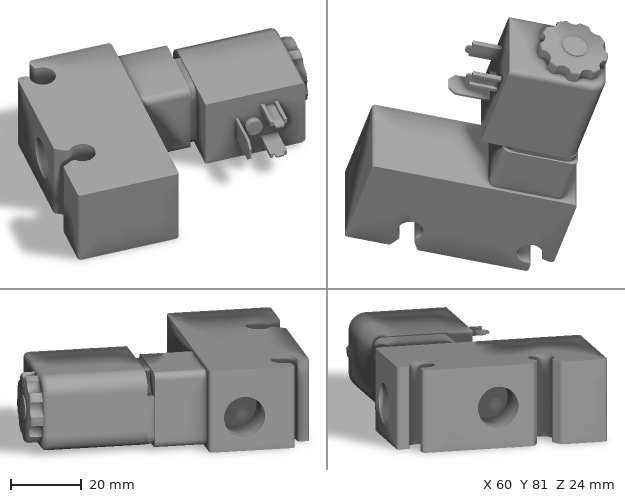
import cadquery as cq
import math


block_length = 60.0
block_height = 30.05
block_thickness = 24.0
block_round = 1.0

notch_radius = 3.7
notch_y = 7.1
hook_notch_x = 7.5
open_notch_x = 42.5
tongue_y = 5.3
tongue_tip_y = 6.0
lip_x = 6.0
flare_half_width = 4.05
flare_angle = 30
throat_round = 1.6

port_diameter = 11.8
port_depth = 12.0
front_port_x = 28.0
side_port_y = 20.0
side_port_z = -2.0

coil_x = 15.0
neck_size = 22.0
neck_round = 2.0
neck_top = 45.0
gasket_size = 21.0
gasket_round = 3.5
gasket_notch = 6.4
gasket_notch_round = 2.9
housing_bottom = 47.1
housing_top = 76.95
housing_left = coil_x - gasket_size / 2
housing_right = 33.05
housing_width = 22.0
housing_corner = 5.0
housing_rim = 1.45

knob_radius = 10.05
knob_top = 80.6
knob_round = 0.7
flute_count = 9
flute_radius = 2.5
flute_root_radius = 8.7
flute_start = 92
disc_diameter = 7.2
overall_height = 81

boss_y = 61.0
boss_diameter = 5.0
boss_length = 2.0
earth_y = 56.4
earth_length = 12.1
earth_width = 7.0
earth_thickness = 0.7
earth_chamfer = 1.8
contact_y = 66.1
contact_z = 5.2
contact_width = 5.0
contact_length = 8.35
contact_base = 0.3
fin_width = 1.0
fin_height = 1.45
web_length = 9.8
web_width = 2.75
web_height = 0.6
web_chamfer = 0.5


def box_between(x_range, y_range, z_range):
    """Axis-aligned box given by its limits along each axis."""
    size = [high - low for low, high in (x_range, y_range, z_range)]
    corner = (x_range[0], y_range[0], z_range[0])
    return cq.Workplane("XY").box(*size, centered=False).translate(corner)


def centred(size):
    return (-size / 2, size / 2)


def y_plane(y):
    """Sketch plane facing +Y at the given Y, centred on the coil; its local axes are -X and Z."""
    return cq.Workplane(cq.Plane(origin=(coil_x, y, 0), xDir=(-1, 0, 0), normal=(0, 1, 0)))


def flare_meeting_height():
    """Y at which the flared mouth line runs into the circle of the open notch."""
    slope = math.tan(math.radians(flare_angle))
    a = 1 + slope**2
    b = -2 * (notch_y + flare_half_width * slope)
    c = notch_y**2 + flare_half_width**2 - notch_radius**2
    return (-b - math.sqrt(b**2 - 4 * a * c)) / (2 * a)


def valve_block():
    notch_top = notch_y + notch_radius
    tongue_x = hook_notch_x - math.sqrt(notch_radius**2 - (notch_y - tongue_tip_y) ** 2)
    notch_bottom = notch_y - notch_radius
    throat_y = flare_meeting_height()
    throat_half_width = flare_half_width - throat_y * math.tan(math.radians(flare_angle))

    block = (
        cq.Workplane("XY", origin=(0, 0, -block_thickness / 2))
        .moveTo(0, block_height)
        .lineTo(0, tongue_y)
        .lineTo(tongue_x, tongue_tip_y)
        .threePointArc((hook_notch_x, notch_top), (hook_notch_x + notch_radius, notch_y))
        .threePointArc(
            (hook_notch_x + notch_radius * math.sqrt(0.5), notch_y - notch_radius * math.sqrt(0.5)),
            (hook_notch_x, notch_bottom),
        )
        .lineTo(lip_x, notch_bottom)
        .lineTo(lip_x, 0)
        .lineTo(open_notch_x - flare_half_width, 0)
        .lineTo(open_notch_x - throat_half_width, throat_y)
        .threePointArc((open_notch_x, notch_top), (open_notch_x + throat_half_width, throat_y))
        .lineTo(open_notch_x + flare_half_width, 0)
        .lineTo(block_length, 0)
        .lineTo(block_length, block_height)
        .close()
        .extrude(block_thickness)
    )
    throat = cq.selectors.BoxSelector(
        (open_notch_x - notch_radius, throat_y - 0.8, -0.8), (open_notch_x + notch_radius, throat_y + 0.8, 0.8)
    )
    upright_edges = cq.StringSyntaxSelector("|Z")
    block = block.edges(upright_edges - throat).fillet(block_round)
    return block.edges(throat).fillet(throat_round)


def ports():
    front_plane = cq.Plane(origin=(front_port_x, 0, 0), xDir=(1, 0, 0), normal=(0, 1, 0))
    side_plane = cq.Plane(origin=(0, side_port_y, side_port_z), xDir=(0, 1, 0), normal=(1, 0, 0))
    front_port = cq.Workplane(front_plane).circle(port_diameter / 2).extrude(port_depth)
    side_port = cq.Workplane(side_plane).circle(port_diameter / 2).extrude(port_depth)
    return front_port.union(side_port)


def neck():
    height = neck_top - block_height
    return y_plane(block_height).rect(neck_size, neck_size).extrude(height).edges("|Y").fillet(neck_round)


def gasket():
    """Square gasket with rounded corners and one corner cut away at -X, +Z."""
    height = housing_bottom - neck_top
    half = gasket_size / 2
    plate = y_plane(neck_top).rect(gasket_size, gasket_size).extrude(height)
    plate = plate.edges("|Y").fillet(gasket_round)
    corner_centre = half - gasket_notch / 2
    cutter = (
        y_plane(neck_top)
        .center(corner_centre, corner_centre)
        .rect(gasket_notch, gasket_notch)
        .extrude(height)
        .edges("|Y and >X and <Z")
        .fillet(gasket_notch_round)
    )
    return plate.cut(cutter)


def housing():
    body = box_between(
        (housing_left, housing_right), (housing_bottom, housing_top), centred(housing_width)
    )
    body = body.edges("|Y and <X").fillet(housing_corner)
    return body.faces(">Y").edges("not >X").fillet(housing_rim)


def knob():
    height = knob_top - housing_top
    body = y_plane(housing_top).circle(knob_radius).extrude(height)
    body = body.faces(">Y").edges().fillet(knob_round)
    flutes = (
        y_plane(housing_top)
        .polarArray(flute_root_radius + flute_radius, flute_start, 360, flute_count)
        .circle(flute_radius)
        .extrude(height)
    )
    disc = y_plane(knob_top).circle(disc_diameter / 2).extrude(overall_height - knob_top)
    return body.cut(flutes).union(disc)


def screw_boss():
    face = cq.Plane(origin=(housing_right, boss_y, 0), xDir=(0, 1, 0), normal=(1, 0, 0))
    return cq.Workplane(face).circle(boss_diameter / 2).extrude(boss_length)


def earth_blade():
    blade = box_between(
        (housing_right, housing_right + earth_length),
        (earth_y - earth_thickness / 2, earth_y + earth_thickness / 2),
        centred(earth_width),
    )
    return blade.edges("|Y and >X").chamfer(earth_chamfer)


def contact():
    """Contact with a long flat web between two taller, shorter fins on a thin base."""
    web = box_between((0, web_length), centred(web_width), (0, web_height))
    web = web.edges("|Z and >X").chamfer(web_chamfer)
    base = box_between((0, contact_length), centred(contact_width), (0, contact_base))
    fin_inner = contact_width / 2 - fin_width
    fin = box_between((0, contact_length), (fin_inner, contact_width / 2), (0, fin_height))
    blade = web.union(base).union(fin).union(fin.mirror("XZ"))
    return blade.translate((housing_right, contact_y, contact_z))


result = valve_block().cut(ports())
upper_contact = contact()
lower_contact = upper_contact.mirror("XY")
for feature in (
    neck(),
    gasket(),
    housing(),
    knob(),
    screw_boss(),
    earth_blade(),
    upper_contact,
    lower_contact,
):
    result = result.union(feature)